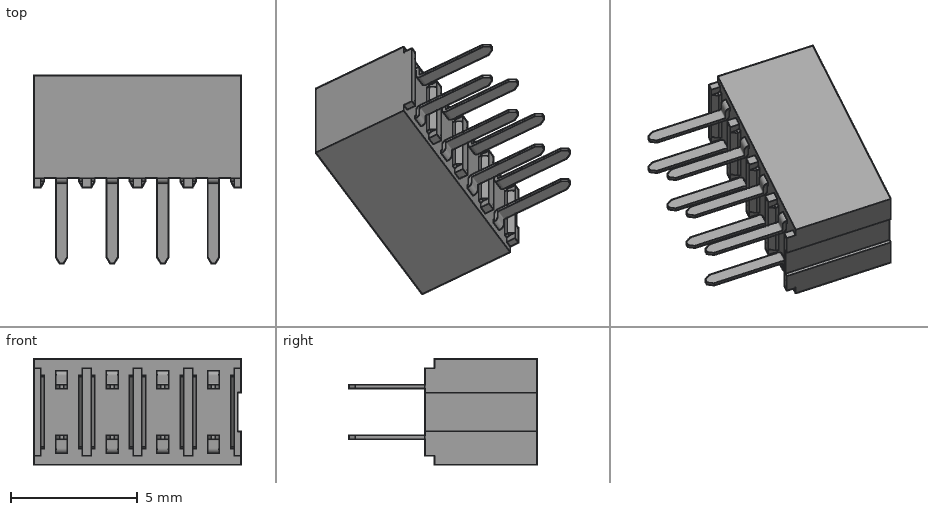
import cadquery as cq


length = 8.19
height = 4.19
overall_depth = 7.44
rib_depth = 0.38
pin_reach = 3.00
body_depth = overall_depth - rib_depth - pin_reach

columns = 4
pitch = 2.00
pin_width = 0.46
pin_thickness = 0.16
pin_inner_z = 0.92
pin_outer_z = pin_inner_z + pin_thickness
pin_tip_y = -rib_depth - pin_reach
tip_width = 0.16
tip_length = 0.25

crank_gap = 0.05
crank_top_z = 1.635
shoulder_radius = 0.19
bend_inner_radius = 0.05
root_depth = 0.30

rib_width = 0.35
rib_height = 3.47

flank_width = 0.64
flank_base_depth = 0.12
flank_base_height = 2.90
flank_height = 2.77

channel_depth = 0.13
channel_height = 1.53


def make_body():
    return cq.Workplane("XY").box(length, body_depth, height).translate((0, body_depth / 2, 0))


def make_flank(x):
    """Rib flank: tapers to the rib width in X and narrows near its base in Z."""
    taper = (
        cq.Workplane("XY")
        .workplane(offset=-flank_base_height / 2)
        .moveTo(x - flank_width / 2, 0)
        .lineTo(x - flank_width / 2, -flank_base_depth)
        .lineTo(x - rib_width / 2, -rib_depth)
        .lineTo(x + rib_width / 2, -rib_depth)
        .lineTo(x + flank_width / 2, -flank_base_depth)
        .lineTo(x + flank_width / 2, 0)
        .close()
        .extrude(flank_base_height)
    )
    side_outline = (
        cq.Workplane("YZ")
        .workplane(offset=x - flank_width / 2)
        .moveTo(0, -flank_base_height / 2)
        .lineTo(-flank_base_depth, -flank_height / 2)
        .lineTo(-rib_depth, -flank_height / 2)
        .lineTo(-rib_depth, flank_height / 2)
        .lineTo(-flank_base_depth, flank_height / 2)
        .lineTo(0, flank_base_height / 2)
        .close()
        .extrude(flank_width)
    )
    return taper.intersect(side_outline)


def make_rib(x):
    return cq.Workplane("XY").box(rib_width, rib_depth, rib_height).translate((x, -rib_depth / 2, 0))


def make_ribs():
    """One flanked rib on each side of every pin column."""
    ribs = cq.Workplane("XY")
    for index in range(columns + 1):
        x = (index - columns / 2) * pitch
        ribs = ribs.add(make_flank(x)).add(make_rib(x))
    return ribs.combine()


def trim_to_length(solid):
    """Cut the two end ribs flush with the ends of the housing."""
    envelope = cq.Workplane("XY").box(length, 2 * overall_depth, height)
    return solid.intersect(envelope)


def make_pin():
    """Upper pin at X = 0: root, crank rising along Z, then the straight blade."""
    crank_back = -crank_gap
    crank_front = crank_back - pin_thickness
    bend_outer_radius = bend_inner_radius + pin_thickness
    shoulder_inner_radius = shoulder_radius - pin_thickness
    root_low_z = crank_top_z - pin_thickness

    strip = (
        cq.Workplane("YZ")
        .moveTo(root_depth, crank_top_z)
        .lineTo(crank_front + shoulder_radius, crank_top_z)
        .radiusArc((crank_front, crank_top_z - shoulder_radius), -shoulder_radius)
        .lineTo(crank_front, pin_outer_z + bend_inner_radius)
        .radiusArc((crank_front - bend_inner_radius, pin_outer_z), bend_inner_radius)
        .lineTo(pin_tip_y, pin_outer_z)
        .lineTo(pin_tip_y, pin_inner_z)
        .lineTo(crank_back - bend_outer_radius, pin_inner_z)
        .radiusArc((crank_back, pin_inner_z + bend_outer_radius), -bend_outer_radius)
        .lineTo(crank_back, root_low_z - shoulder_inner_radius)
        .radiusArc((crank_back + shoulder_inner_radius, root_low_z), shoulder_inner_radius)
        .lineTo(root_depth, root_low_z)
        .close()
        .extrude(pin_width / 2, both=True)
    )
    blade_outline = (
        cq.Workplane("XY")
        .moveTo(-pin_width / 2, root_depth)
        .lineTo(-pin_width / 2, pin_tip_y + tip_length)
        .lineTo(-tip_width / 2, pin_tip_y)
        .lineTo(tip_width / 2, pin_tip_y)
        .lineTo(pin_width / 2, pin_tip_y + tip_length)
        .lineTo(pin_width / 2, root_depth)
        .close()
        .extrude(height / 2)
    )
    return strip.intersect(blade_outline)


def make_channel():
    """Cutter for the channel, which runs the whole depth of the +X side."""
    channel = cq.Workplane("XY").box(2 * channel_depth, 2 * overall_depth, channel_height)
    return channel.translate((length / 2, 0, 0))


result = make_body().union(trim_to_length(make_ribs())).cut(make_channel())

upper_pin = make_pin()
lower_pin = upper_pin.mirror("XY")
for column in range(columns):
    pin_x = (column - (columns - 1) / 2) * pitch
    for pin in (upper_pin, lower_pin):
        result = result.union(pin.translate((pin_x, 0, 0)))